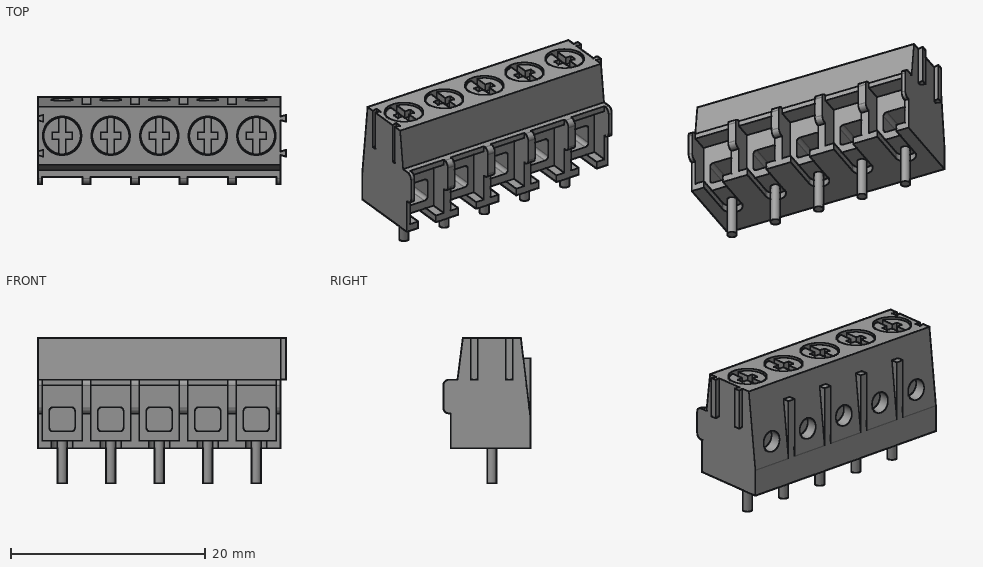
import cadquery as cq


POLES = 5
PITCH = 5.0
LENGTH = POLES * PITCH
POLE_CENTRES = [(i - (POLES - 1) / 2) * PITCH for i in range(POLES)]
POLE_BORDERS = [(i - POLES / 2) * PITCH for i in range(1, POLES)]

OVERALL_HEIGHT = 15.0
HEIGHT = 11.4
BASE_DEPTH = 8.25
NOSE_DEPTH = 9.0
NOSE_BOTTOM = 3.6
NOSE_TOP = 7.1
NOSE_RADIUS = 0.6
BACK_SLOPE_START = 2.9
TOP_BACK_DEPTH = 1.0
TOP_FRONT_DEPTH = 7.0
SHOULDER_DEPTH = 7.55

WALL = 0.85
POCKET_WIDTH = PITCH - WALL
POCKET_BACK_DEPTH = 6.4
FLOOR_THICKNESS = 0.8
LIP_THICKNESS = NOSE_RADIUS
LIP_BOTTOM = NOSE_TOP - LIP_THICKNESS
WINDOW_WIDTH = 2.65
WINDOW_HEIGHT = 2.5
WINDOW_CENTRE_Z = 3.0
WINDOW_RADIUS = 0.4
WINDOW_DEPTH = 4.0

SCREW_DEPTH = 4.0
SCREW_HOLE_DIAMETER = 4.0
SCREW_DIAMETER = 3.8
SCREW_RECESS = 0.2
SCREW_GAP_DEPTH = 1.0
DRIVE_WIDTH = 0.75
DRIVE_SHORT_ARM = 2.05
DRIVE_DEPTH = 0.8

PIN_DIAMETER = 1.0
PIN_LENGTH = OVERALL_HEIGHT - HEIGHT
PIN_SLOT_WIDTH = 2.2

TEST_HOLE_DIAMETER = 2.2
TEST_HOLE_Z = 5.3
TEST_HOLE_END_DEPTH = 1.5
RIB_TOP = 9.3

DOVETAIL_LENGTH = 0.57
DOVETAIL_NECK = 0.4
DOVETAIL_HEAD = 0.72
DOVETAIL_OFFSET = 1.8
DOVETAIL_DEPTHS = [SCREW_DEPTH - DOVETAIL_OFFSET, SCREW_DEPTH + DOVETAIL_OFFSET]


def box(x_centre, width, depth_back, depth_front, bottom, top):
    """Block centred on x_centre, spanning two depths from the back face and two heights."""
    return (
        cq.Workplane("XY")
        .box(width, depth_front - depth_back, top - bottom, centered=(True, False, False))
        .translate((x_centre, -depth_front, bottom))
    )


def cylinder(x_centre, diameter, bottom, top):
    """Upright cylinder on the line of the screws and pins."""
    return (
        cq.Workplane("XY", origin=(x_centre, -SCREW_DEPTH, bottom))
        .circle(diameter / 2)
        .extrude(top - bottom)
    )


def housing():
    """Tapered housing with a rounded nose along its front."""
    body = (
        cq.Workplane("YZ", origin=(-LENGTH / 2, 0, 0))
        .moveTo(0, 0)
        .lineTo(0, BACK_SLOPE_START)
        .lineTo(-TOP_BACK_DEPTH, HEIGHT)
        .lineTo(-TOP_FRONT_DEPTH, HEIGHT)
        .lineTo(-SHOULDER_DEPTH, NOSE_TOP)
        .lineTo(-BASE_DEPTH, NOSE_TOP)
        .lineTo(-BASE_DEPTH, 0)
        .close()
        .extrude(LENGTH)
    )
    nose = (
        box(0, LENGTH, POCKET_BACK_DEPTH, NOSE_DEPTH, NOSE_BOTTOM, NOSE_TOP)
        .edges("|X and <Y")
        .fillet(NOSE_RADIUS)
    )
    return body.union(nose)


def back_rib(x_centre):
    """Upright rib that fills the back slope at a border between two poles."""
    return box(x_centre, WALL, 0, TOP_BACK_DEPTH, 0, RIB_TOP)


def wire_entry(x_centre):
    """Cutter for one front pocket, the clearance before its lip and the wire window."""
    pocket = box(x_centre, POCKET_WIDTH, POCKET_BACK_DEPTH, NOSE_DEPTH, FLOOR_THICKNESS, LIP_BOTTOM)
    lip_clearance = box(x_centre, POCKET_WIDTH, BASE_DEPTH, NOSE_DEPTH, FLOOR_THICKNESS, NOSE_TOP)
    window = box(
        x_centre,
        WINDOW_WIDTH,
        POCKET_BACK_DEPTH - WINDOW_DEPTH,
        POCKET_BACK_DEPTH,
        WINDOW_CENTRE_Z - WINDOW_HEIGHT / 2,
        WINDOW_CENTRE_Z + WINDOW_HEIGHT / 2,
    )
    window = window.edges("|Y").fillet(WINDOW_RADIUS)
    return pocket.union(lip_clearance).union(window)


def pin_slot(x_centre):
    """Cutter for the slot in the floor, open at the front and rounded about the pin."""
    straight = box(x_centre, PIN_SLOT_WIDTH, SCREW_DEPTH, BASE_DEPTH, 0, FLOOR_THICKNESS)
    return straight.union(cylinder(x_centre, PIN_SLOT_WIDTH, 0, FLOOR_THICKNESS))


def screw_recess(x_centre):
    """Cutter for one screw hole, leaving a cross-slotted screw head inside it."""
    head_top = HEIGHT - SCREW_RECESS
    drive_bottom = head_top - DRIVE_DEPTH
    half_width = DRIVE_WIDTH / 2
    long_arm = box(
        x_centre,
        DRIVE_WIDTH,
        SCREW_DEPTH - SCREW_DIAMETER / 2,
        SCREW_DEPTH + SCREW_DIAMETER / 2,
        drive_bottom,
        head_top,
    )
    short_arm = box(
        x_centre,
        DRIVE_SHORT_ARM,
        SCREW_DEPTH - half_width,
        SCREW_DEPTH + half_width,
        drive_bottom,
        head_top,
    )
    head = cylinder(x_centre, SCREW_DIAMETER, head_top - SCREW_GAP_DEPTH, head_top)
    head = head.cut(long_arm).cut(short_arm)
    hole = cylinder(x_centre, SCREW_HOLE_DIAMETER, head_top - SCREW_GAP_DEPTH, HEIGHT)
    return hole.cut(head)


def test_hole(x_centre):
    """Cutter for the round blind hole in the back slope."""
    return (
        cq.Workplane("XZ", origin=(x_centre, 0, TEST_HOLE_Z))
        .circle(TEST_HOLE_DIAMETER / 2)
        .extrude(TEST_HOLE_END_DEPTH)
    )


def dovetail(x_neck, depth):
    """Upright dovetail that widens from its neck towards +X."""
    return (
        cq.Workplane("XY", origin=(x_neck, -depth, NOSE_TOP))
        .moveTo(0, -DOVETAIL_NECK / 2)
        .lineTo(DOVETAIL_LENGTH, -DOVETAIL_HEAD / 2)
        .lineTo(DOVETAIL_LENGTH, DOVETAIL_HEAD / 2)
        .lineTo(0, DOVETAIL_NECK / 2)
        .close()
        .extrude(HEIGHT - NOSE_TOP)
    )


def terminal_block():
    """Complete block with all poles, ribs and dovetails."""
    block = housing()
    for x in POLE_BORDERS:
        block = block.union(back_rib(x))
    for x in POLE_CENTRES:
        block = block.cut(wire_entry(x))
        block = block.cut(pin_slot(x))
        block = block.cut(screw_recess(x))
        block = block.cut(test_hole(x))
        block = block.union(cylinder(x, PIN_DIAMETER, -PIN_LENGTH, FLOOR_THICKNESS))
    for depth in DOVETAIL_DEPTHS:
        block = block.cut(dovetail(-LENGTH / 2, depth))
        block = block.union(dovetail(LENGTH / 2, depth))
    return block


result = terminal_block()